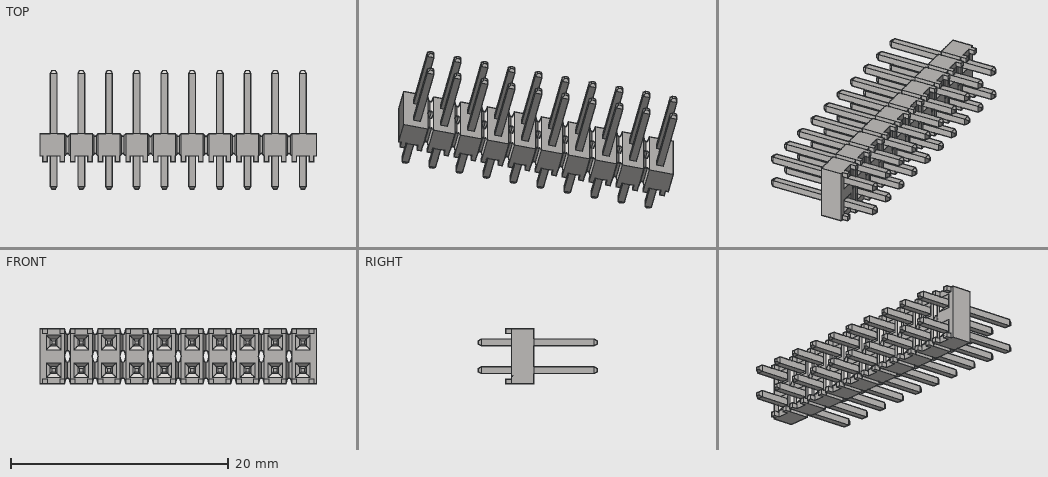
import cadquery as cq

pitch = 2.55
columns = 10
rows = 2

body_length = columns * pitch
body_height = rows * pitch
body_depth = 2.05

notch_width = 0.53
notch_half_width = notch_width / 2
notch_depth = notch_half_width

window_half_height = 0.5
window_waist_half_width = 0.13

foot_width = 0.43
foot_height = 0.45
foot_length = 0.53
foot_outer_offset = pitch / 2 - notch_half_width

pin_width = 0.64
pocket_width = 1.35
pocket_depth = 0.25

pin_front_reach = 3.05
pin_rear_reach = 5.82
tip_width = 0.3
tip_length = 0.28

column_centers = [(i + 0.5) * pitch - body_length / 2 for i in range(columns)]
row_centers = [(i + 0.5) * pitch - body_height / 2 for i in range(rows)]
notch_centers = [i * pitch - body_length / 2 for i in range(1, columns)]
window_centers = [i * pitch - body_height / 2 for i in range(rows + 1)]
pin_positions = [(x, z) for x in column_centers for z in row_centers]


def box(x, y, z, width, depth, height):
    """Box centred on x and z, running from y toward +Y."""
    return cq.Workplane("XY").box(width, depth, height, centered=(True, False, True)).translate((x, y, z))


def square_taper(y, depth, start_width, end_width):
    """Square frustum on the Y axis, from start_width at y to end_width at y + depth."""
    return (
        cq.Workplane("XZ", origin=(0, y, 0))
        .rect(start_width, start_width)
        .workplane(offset=-depth)
        .rect(end_width, end_width)
        .loft(combine=True)
    )


def make_notch(x, face_y, root_y):
    """V groove over the full height, open at face_y and sharp at root_y."""
    return (
        cq.Workplane("XY", origin=(0, 0, -body_height / 2))
        .polyline([(x - notch_half_width, face_y), (x + notch_half_width, face_y), (x, root_y)])
        .close()
        .extrude(body_height)
    )


def make_window(x, z):
    """Hexagonal opening through the web, widest at its mid height z."""
    upper = z + window_half_height
    lower = z - window_half_height
    outline = [
        (x - notch_half_width, z),
        (x - window_waist_half_width, upper),
        (x + window_waist_half_width, upper),
        (x + notch_half_width, z),
        (x + window_waist_half_width, lower),
        (x - window_waist_half_width, lower),
    ]
    return cq.Workplane("XZ").polyline(outline).close().extrude(-body_depth)


def make_pin():
    """Pin on the Y axis, tapered at both ends."""
    front_shoulder = -pin_front_reach + tip_length
    rear_shoulder = body_depth + pin_rear_reach - tip_length
    shank = box(0, front_shoulder, 0, pin_width, rear_shoulder - front_shoulder, pin_width)
    front_tip = square_taper(-pin_front_reach, tip_length, tip_width, pin_width)
    rear_tip = square_taper(rear_shoulder, tip_length, pin_width, tip_width)
    return shank.union(front_tip).union(rear_tip)


def make_feet():
    """Four small feet per column, flush with the top and bottom of the housing."""
    x_offset = foot_outer_offset - foot_width / 2
    z_offset = (body_height - foot_height) / 2
    return [
        box(x + side * x_offset, -foot_length, level * z_offset, foot_width, foot_length, foot_height)
        for x in column_centers
        for side in (-1, 1)
        for level in (-1, 1)
    ]


def copy_to_pins(shape):
    """One copy of shape on every pin axis."""
    return [shape.translate((x, 0, z)) for x, z in pin_positions]


def solids(pieces):
    """The solid inside each workplane of a list."""
    return [piece.val() for piece in pieces]


front_notches = [make_notch(x, 0, notch_depth) for x in notch_centers]
rear_notches = [make_notch(x, body_depth, body_depth - notch_depth) for x in notch_centers]
windows = [make_window(x, z) for x in notch_centers for z in window_centers]
pockets = copy_to_pins(square_taper(0, pocket_depth, pocket_width, pin_width))
pins = copy_to_pins(make_pin())

housing = box(0, 0, 0, body_length, body_depth, body_height).val()
housing = housing.cut(*solids(front_notches + rear_notches + windows + pockets))
header = housing.fuse(*solids(make_feet() + pins)).clean()

result = cq.Workplane(header)